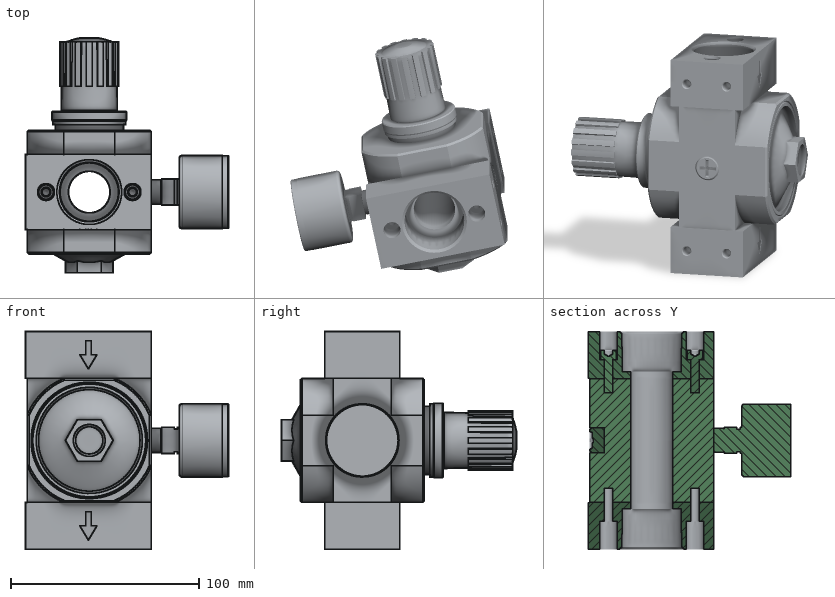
import cadquery as cq
import math


HOUSING_SIZE = 66.0
HOUSING_HALF = HOUSING_SIZE / 2
SLAB_THICKNESS = 30.8
FLAT_HALF_WIDTH = 13.5
DRUM_RADIUS = math.hypot(HOUSING_HALF, FLAT_HALF_WIDTH)
DRUM_CHAMFER = 1.0
FLOW_BORE_DIA = 22.0

BLOCK_LEFT = -34.0
BLOCK_WIDTH = HOUSING_HALF - BLOCK_LEFT
BLOCK_CENTER_X = (HOUSING_HALF + BLOCK_LEFT) / 2
BLOCK_DEPTH = 40.0
BLOCK_HEIGHT = 25.0
BLOCK_TOP = HOUSING_HALF + BLOCK_HEIGHT
BLOCK_CENTER_Z = HOUSING_HALF + BLOCK_HEIGHT / 2
PORT_MOUTH_DIA = 34.5
PORT_TAPER_DIA = 31.8
PORT_INNER_DIA = 31.0
PORT_CHAMFER_DEPTH = 1.2
PORT_TAPER_END = 16.0
PORT_DEPTH = 21.5
SIDE_HOLE_SPACING = 22.0
SIDE_HOLE_DIA = 4.2
SIDE_HOLE_MOUTH_DIA = 5.2
SIDE_HOLE_DEPTH = 7.5
DRILL_TIP_ANGLE = 118.0
ARROW_LENGTH = 15.0
ARROW_HEAD_LENGTH = 7.5
ARROW_HEAD_WIDTH = 9.0
ARROW_STEM_WIDTH = 3.0
ARROW_DEPTH = 0.4

SCREW_OFFSET = 23.0
SCREW_SEAT_DIA = 9.0
SCREW_SEAT_DEPTH = 15.0
SCREW_HEAD_DIA = 8.5
SCREW_HEAD_HEIGHT = 5.0
SCREW_HEAD_CHAMFER = 0.4
SCREW_SHANK_DIA = 4.1
SCREW_ENGAGEMENT = 7.5
SCREW_SEAT_Z = BLOCK_TOP - SCREW_SEAT_DEPTH
SOCKET_MOUTH_DIA = 5.0
SOCKET_DIA = 4.2
SOCKET_DEPTH = 2.0

PLUG_DIA = 13.1
PLUG_FACE_DIA = 11.5
PLUG_CHAMFER = (PLUG_DIA - PLUG_FACE_DIA) / 2
PLUG_LENGTH = 7.5
PLUG_FACE_X = -HOUSING_HALF
SLOT_LENGTH = 9.5
SLOT_FLOOR_LENGTH = 8.0
SLOT_WIDTH = 1.8
SLOT_DEPTH = 1.2
PLUG_CENTER_DIA = 2.0
PLUG_CENTER_DEPTH = 1.8

CAP_RADIUS = 30.5
CAP_MOUTH_RADIUS = 31.0
CAP_SEAT_Y = -25.0
CAP_RIM_SETBACK = 0.2
CAP_RIM_Y = -HOUSING_HALF + CAP_RIM_SETBACK
CAP_RIM_CHAMFER = 0.5
CAP_WALL_RADIUS = 28.2
CAP_WALL_FOOT_Y = -29.9
CAP_VALLEY_MIDDLE = (27.9, -28.9)
CAP_CONE_FOOT = (27.0, -28.5)
CAP_CONE_TOP = (10.0, -38.0)
CAP_HEX_FLATS = 22.0
CAP_HEX_ROOT_Y = -31.2
CAP_HEX_END_Y = -43.0
CAP_HOLE_DIA = 17.0
CAP_HOLE_DEPTH = 3.6
CAP_HOLE_CHAMFER = 1.2

BONNET_NECK_RADIUS = 18.2
BONNET_STEP_RADIUS = 19.5
BONNET_COLLAR_RADIUS = 19.9
BONNET_STEP_Y = 35.9
BONNET_STEP_TOP_Y = 37.6
BONNET_COLLAR_Y = 38.4
BONNET_TOP_Y = 43.0
BONNET_CHAMFER = 0.5

KNOB_SPIGOT_RADIUS = 14.4
KNOB_FOOT_Y = 43.5
KNOB_FOOT_RADIUS = 15.0
KNOB_CORE_TOP_RADIUS = 14.4
KNOB_RIB_RADIUS = 15.8
KNOB_RIB_START_Y = 56.2
KNOB_RIB_END_Y = 79.9
KNOB_RIB_WIDTH = 3.0
KNOB_RIB_COUNT = 16
KNOB_DOME_RADIUS = 12.2
KNOB_DOME_MIDDLE = (8.2, 81.2)
KNOB_TOP_RADIUS = 4.8
KNOB_TOP_Y = 82.0

GAUGE_STEM_DIA = 13.1
GAUGE_RELIEF_DIA = 12.5
GAUGE_RELIEF_X = 38.1
GAUGE_SQUARE_X = 38.5
GAUGE_SQUARE_SIZE = 14.0
GAUGE_NOTCH_X = 45.2
GAUGE_NOTCH_WIDTH = 1.6
GAUGE_NOTCH_DEPTH = 0.9
GAUGE_CASE_X = 47.8
GAUGE_CASE_RADIUS = 19.5
GAUGE_CASE_FILLET = 1.8
GAUGE_BEZEL_X = 70.6
GAUGE_BEZEL_RADIUS = 19.4
GAUGE_END_X = 74.1
GAUGE_END_CHAMFER = 0.4


def turned_about_y(profile):
    """Revolve a closed sketch of (radius, Y) points about the Y axis."""
    return profile.close().revolve(360, (0, 0), (0, 1))


def turned_about_z(points):
    """Revolve (radius, Z) points about the Z axis."""
    return cq.Workplane("XZ").polyline(points).close().revolve(360, (0, 0), (0, 1))


def drilled_hole(mouth_dia, dia, depth):
    """Cutter for a blind hole going down from Z = 0: chamfered mouth and conical tip."""
    radius = dia / 2
    mouth_radius = mouth_dia / 2
    tip_depth = radius / math.tan(math.radians(DRILL_TIP_ANGLE / 2))
    return turned_about_z([
        (0, 0),
        (mouth_radius, 0),
        (radius, radius - mouth_radius),
        (radius, -depth),
        (0, -depth - tip_depth),
    ])


def make_housing():
    slab = cq.Workplane("XY").box(HOUSING_SIZE, SLAB_THICKNESS, HOUSING_SIZE)
    cube = cq.Workplane("XY").box(HOUSING_SIZE, HOUSING_SIZE, HOUSING_SIZE)
    drum = cq.Workplane("XZ").circle(DRUM_RADIUS).extrude(HOUSING_HALF, both=True).intersect(cube)
    drum = drum.faces("<Y or >Y").edges().chamfer(DRUM_CHAMFER)
    housing = slab.union(drum)

    flow_bore = cq.Workplane("XY").circle(FLOW_BORE_DIA / 2).extrude(HOUSING_HALF, both=True)
    housing = housing.cut(flow_bore)

    cap_mouth_chamfer = CAP_MOUTH_RADIUS - CAP_RADIUS
    cap_seat = turned_about_y(
        cq.Workplane("XY")
        .moveTo(0, CAP_SEAT_Y)
        .lineTo(CAP_RADIUS, CAP_SEAT_Y)
        .lineTo(CAP_RADIUS, -HOUSING_HALF + cap_mouth_chamfer)
        .lineTo(CAP_MOUTH_RADIUS, -HOUSING_HALF)
        .lineTo(0, -HOUSING_HALF)
    )
    housing = housing.cut(cap_seat)

    plug_seat = cq.Workplane("YZ", origin=(PLUG_FACE_X, 0, 0)).circle(PLUG_DIA / 2).extrude(PLUG_LENGTH)
    housing = housing.cut(plug_seat)

    screw_holes = (
        cq.Workplane("XY", origin=(0, 0, HOUSING_HALF))
        .pushPoints([(-SCREW_OFFSET, 0), (SCREW_OFFSET, 0)])
        .circle(SCREW_SHANK_DIA / 2)
        .extrude(-SCREW_ENGAGEMENT)
    )
    return housing.cut(screw_holes).cut(screw_holes.mirror("XY"))


def make_upper_block():
    """Connection block above the housing, without its flow arrow."""
    block = cq.Workplane("XY").box(BLOCK_WIDTH, BLOCK_DEPTH, BLOCK_HEIGHT)
    block = block.translate((BLOCK_CENTER_X, 0, BLOCK_CENTER_Z))

    port = turned_about_z([
        (0, BLOCK_TOP),
        (PORT_MOUTH_DIA / 2, BLOCK_TOP),
        (PORT_TAPER_DIA / 2, BLOCK_TOP - PORT_CHAMFER_DEPTH),
        (PORT_INNER_DIA / 2, BLOCK_TOP - PORT_TAPER_END),
        (PORT_INNER_DIA / 2, BLOCK_TOP - PORT_DEPTH),
        (FLOW_BORE_DIA / 2, BLOCK_TOP - PORT_DEPTH),
        (FLOW_BORE_DIA / 2, HOUSING_HALF),
        (0, HOUSING_HALF),
    ])
    block = block.cut(port)

    for x in (-SCREW_OFFSET, SCREW_OFFSET):
        seat = cq.Workplane("XY", origin=(x, 0, SCREW_SEAT_Z)).circle(SCREW_SEAT_DIA / 2)
        shank_hole = cq.Workplane("XY", origin=(x, 0, HOUSING_HALF)).circle(SCREW_SHANK_DIA / 2)
        block = block.cut(seat.extrude(SCREW_SEAT_DEPTH)).cut(shank_hole.extrude(BLOCK_HEIGHT))

    side_hole = drilled_hole(SIDE_HOLE_MOUTH_DIA, SIDE_HOLE_DIA, SIDE_HOLE_DEPTH)
    side_hole = side_hole.rotate((0, 0, 0), (0, 1, 0), -90)
    for y in (-SIDE_HOLE_SPACING / 2, SIDE_HOLE_SPACING / 2):
        block = block.cut(side_hole.translate((BLOCK_LEFT, y, BLOCK_CENTER_Z)))
    return block


def make_flow_arrow(center_z):
    """Cutter for the shallow arrow on the front of a block, pointing down."""
    half_length = ARROW_LENGTH / 2
    head_z = ARROW_HEAD_LENGTH - half_length
    half_stem = ARROW_STEM_WIDTH / 2
    half_head = ARROW_HEAD_WIDTH / 2
    return (
        cq.Workplane("XZ", origin=(BLOCK_CENTER_X, -BLOCK_DEPTH / 2, center_z))
        .polyline([
            (0, -half_length),
            (half_head, head_z),
            (half_stem, head_z),
            (half_stem, half_length),
            (-half_stem, half_length),
            (-half_stem, head_z),
            (-half_head, head_z),
        ])
        .close()
        .extrude(-ARROW_DEPTH)
    )


def make_screw(x):
    """Screw that holds the upper block, with a round socket in its head."""
    head = (
        cq.Workplane("XY")
        .circle(SCREW_HEAD_DIA / 2)
        .extrude(SCREW_HEAD_HEIGHT)
        .faces(">Z")
        .chamfer(SCREW_HEAD_CHAMFER)
    )
    shank_length = SCREW_SEAT_Z - HOUSING_HALF + SCREW_ENGAGEMENT
    shank = cq.Workplane("XY").circle(SCREW_SHANK_DIA / 2).extrude(-shank_length)
    socket = drilled_hole(SOCKET_MOUTH_DIA, SOCKET_DIA, SOCKET_DEPTH)
    screw = head.union(shank).cut(socket.translate((0, 0, SCREW_HEAD_HEIGHT)))
    return screw.translate((x, 0, SCREW_SEAT_Z))


def make_plug():
    """Chamfered plug, flush in the -X side of the housing, with a cross slot."""
    plug = cq.Workplane("YZ", origin=(PLUG_FACE_X, 0, 0)).circle(PLUG_DIA / 2).extrude(PLUG_LENGTH)
    plug = plug.faces("<X").edges().chamfer(PLUG_CHAMFER)
    slot = (
        cq.Workplane("XY", origin=(PLUG_FACE_X, 0, 0))
        .polyline([
            (0, -SLOT_LENGTH / 2),
            (SLOT_DEPTH, -SLOT_FLOOR_LENGTH / 2),
            (SLOT_DEPTH, SLOT_FLOOR_LENGTH / 2),
            (0, SLOT_LENGTH / 2),
        ])
        .close()
        .extrude(SLOT_WIDTH / 2, both=True)
    )
    center_hole = cq.Workplane("YZ", origin=(PLUG_FACE_X, 0, 0)).circle(PLUG_CENTER_DIA / 2)
    plug = plug.cut(slot).cut(slot.rotate((0, 0, 0), (1, 0, 0), 90))
    return plug.cut(center_hole.extrude(PLUG_CENTER_DEPTH))


def make_cap():
    """Bottom cap: a cone inside a raised rim, ending in a hexagon."""
    dish = turned_about_y(
        cq.Workplane("XY")
        .moveTo(0, CAP_SEAT_Y)
        .lineTo(CAP_RADIUS, CAP_SEAT_Y)
        .lineTo(CAP_RADIUS, CAP_RIM_Y + CAP_RIM_CHAMFER)
        .lineTo(CAP_RADIUS - CAP_RIM_CHAMFER, CAP_RIM_Y)
        .lineTo(CAP_WALL_RADIUS, CAP_RIM_Y)
        .lineTo(CAP_WALL_RADIUS, CAP_WALL_FOOT_Y)
        .threePointArc(CAP_VALLEY_MIDDLE, CAP_CONE_FOOT)
        .lineTo(*CAP_CONE_TOP)
        .lineTo(0, CAP_CONE_TOP[1])
    )
    hexagon = (
        cq.Workplane("XZ", origin=(0, CAP_HEX_ROOT_Y, 0))
        .polygon(6, CAP_HEX_FLATS, circumscribed=True)
        .extrude(CAP_HEX_ROOT_Y - CAP_HEX_END_Y)
        .rotate((0, 0, 0), (0, 1, 0), 30)
    )
    hole = (
        cq.Workplane("XZ", origin=(0, CAP_HEX_END_Y, 0))
        .circle(CAP_HOLE_DIA / 2)
        .extrude(-CAP_HOLE_DEPTH)
        .faces(">Y")
        .chamfer(CAP_HOLE_CHAMFER)
    )
    return dish.union(hexagon).cut(hole)


def make_bonnet():
    """Stepped ring on the +Y side of the housing that carries the knob."""
    return turned_about_y(
        cq.Workplane("XY")
        .moveTo(0, HOUSING_HALF)
        .lineTo(BONNET_NECK_RADIUS, HOUSING_HALF)
        .lineTo(BONNET_NECK_RADIUS, BONNET_STEP_Y)
        .lineTo(BONNET_STEP_RADIUS, BONNET_STEP_Y)
        .lineTo(BONNET_STEP_RADIUS, BONNET_STEP_TOP_Y)
        .lineTo(BONNET_COLLAR_RADIUS, BONNET_COLLAR_Y)
        .lineTo(BONNET_COLLAR_RADIUS, BONNET_TOP_Y - BONNET_CHAMFER)
        .lineTo(BONNET_COLLAR_RADIUS - BONNET_CHAMFER, BONNET_TOP_Y)
        .lineTo(0, BONNET_TOP_Y)
    )


def make_knob():
    """Adjusting knob: a turned core with ribs around it and a low domed end."""
    knob = turned_about_y(
        cq.Workplane("XY")
        .moveTo(0, BONNET_TOP_Y)
        .lineTo(KNOB_SPIGOT_RADIUS, BONNET_TOP_Y)
        .lineTo(KNOB_SPIGOT_RADIUS, KNOB_FOOT_Y)
        .lineTo(KNOB_FOOT_RADIUS, KNOB_FOOT_Y)
        .lineTo(KNOB_CORE_TOP_RADIUS, KNOB_RIB_END_Y)
        .lineTo(KNOB_DOME_RADIUS, KNOB_RIB_END_Y)
        .threePointArc(KNOB_DOME_MIDDLE, (KNOB_TOP_RADIUS, KNOB_TOP_Y))
        .lineTo(0, KNOB_TOP_Y)
    )
    rib_length = KNOB_RIB_END_Y - KNOB_RIB_START_Y
    bar = (
        cq.Workplane("XZ", origin=(0, KNOB_RIB_START_Y, 0))
        .center(0, KNOB_RIB_RADIUS / 2)
        .rect(KNOB_RIB_WIDTH, KNOB_RIB_RADIUS)
        .extrude(-rib_length)
    )
    envelope = cq.Workplane("XZ", origin=(0, KNOB_RIB_START_Y, 0)).circle(KNOB_RIB_RADIUS)
    rib = bar.intersect(envelope.extrude(-rib_length))
    for index in range(KNOB_RIB_COUNT):
        knob = knob.union(rib.rotate((0, 0, 0), (0, 1, 0), index * 360 / KNOB_RIB_COUNT))
    return knob


def make_gauge():
    """Pressure gauge on the +X side: round stem, notched square, round case."""
    def round_section(x, radius, end_x):
        return cq.Workplane("YZ", origin=(x, 0, 0)).circle(radius).extrude(end_x - x)

    stem = round_section(HOUSING_HALF, GAUGE_STEM_DIA / 2, GAUGE_RELIEF_X)
    relief = round_section(GAUGE_RELIEF_X, GAUGE_RELIEF_DIA / 2, GAUGE_SQUARE_X)
    square = (
        cq.Workplane("YZ", origin=(GAUGE_SQUARE_X, 0, 0))
        .rect(GAUGE_SQUARE_SIZE, GAUGE_SQUARE_SIZE)
        .extrude(GAUGE_CASE_X - GAUGE_SQUARE_X)
    )
    notch = cq.Workplane("XY").box(GAUGE_NOTCH_WIDTH, GAUGE_SQUARE_SIZE, 2 * GAUGE_NOTCH_DEPTH)
    for z in (-GAUGE_SQUARE_SIZE / 2, GAUGE_SQUARE_SIZE / 2):
        square = square.cut(notch.translate((GAUGE_NOTCH_X + GAUGE_NOTCH_WIDTH / 2, 0, z)))

    case = round_section(GAUGE_CASE_X, GAUGE_CASE_RADIUS, GAUGE_BEZEL_X)
    case = case.faces("<X").edges().fillet(GAUGE_CASE_FILLET)
    bezel = round_section(GAUGE_BEZEL_X, GAUGE_BEZEL_RADIUS, GAUGE_END_X)
    bezel = bezel.faces(">X").edges().chamfer(GAUGE_END_CHAMFER)
    return stem.union(relief).union(square).union(case).union(bezel)


housing = make_housing()
plain_block = make_upper_block()
upper_block = plain_block.cut(make_flow_arrow(BLOCK_CENTER_Z))
lower_block = plain_block.mirror("XY").cut(make_flow_arrow(-BLOCK_CENTER_Z))
screws = [make_screw(x) for x in (-SCREW_OFFSET, SCREW_OFFSET)]
plug = make_plug()
cap = make_cap()
bonnet = make_bonnet()
knob = make_knob()
gauge = make_gauge()

result = cq.Compound.makeCompound([
    housing.val(),
    upper_block.val(),
    lower_block.val(),
    *[screw.val() for screw in screws],
    plug.val(),
    cap.val(),
    bonnet.val(),
    knob.val(),
    gauge.val(),
])